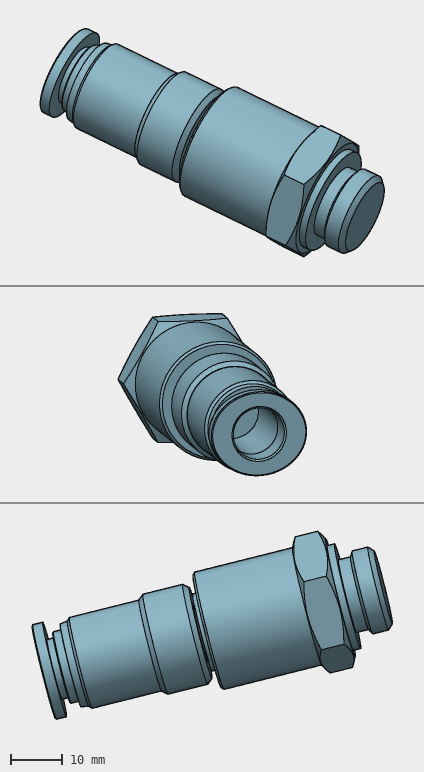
import cadquery as cq
import math


FLANGE_WIDTH_Y = 19.0
FLANGE_HEIGHT_Z = 16.65
FLANGE_THICKNESS = 2.2
FLANGE_EDGE_CHAMFER = 0.2
SLEEVE_DIAMETER = 12.0
TUBE_BORE_DIAMETER = 10.2
TUBE_BORE_CHAMFER = 0.35
SLEEVE_END = 5.65

COLLAR_START = 3.5
COLLAR_DIAMETER = 14.3
COLLAR_CHAMFER = 0.2
NOSE_START = 5.35
NOSE_DIAMETER = 16.65
NOSE_CONE_END = 6.85
NOSE_CONE_DIAMETER = 17.1
BARREL_START = 7.4
BARREL_DIAMETER = 18.2
SHOULDER_START = 21.3
SHOULDER_END = 22.35
TUBE_STOP = SHOULDER_START
SHOULDER_FOOT_DIAMETER = 18.3
SHOULDER_DIAMETER = 20.0
REAR_CHAMFER_START = 30.3
BARREL_END = 31.4
REAR_FACE_DIAMETER = 18.2
NECK_DIAMETER = 11.9

HOUSING_START = 31.7
LIP_DIAMETER = 15.5
CASE_START = 32.65
CASE_DIAMETER = 23.5
CASE_CHAMFER = 0.5
HEX_START = 52.7
HEX_END = 59.35
HEX_ACROSS_FLATS = 24.0
HEX_CHAMFER_LENGTH = 1.1
SEAT_DIAMETER = 21.0
SEAT_END = 60.8
RELIEF_DIAMETER = 14.6
RELIEF_END = 63.15
THREAD_START = 63.75
THREAD_DIAMETER = 16.65
THREAD_CHAMFER = 1.0
OVERALL_LENGTH = 67.9


def cylinder(start, end, diameter):
    """Cylinder on the X axis between two X positions."""
    return cq.Workplane("YZ", origin=(start, 0, 0)).circle(diameter / 2).extrude(end - start)


def revolve_profile(stations):
    """Solid of revolution about X from (x, diameter) stations."""
    outline = [(stations[0][0], 0)]
    outline += [(x, diameter / 2) for x, diameter in stations]
    outline += [(stations[-1][0], 0)]
    return cq.Workplane("XY").polyline(outline).close().revolve(360, (0, 0, 0), (1, 0, 0))


def make_release_sleeve():
    flange = (
        cq.Workplane("YZ")
        .ellipse(FLANGE_WIDTH_Y / 2, FLANGE_HEIGHT_Z / 2)
        .extrude(FLANGE_THICKNESS)
        .faces("<X")
        .chamfer(FLANGE_EDGE_CHAMFER)
    )
    sleeve = flange.union(cylinder(FLANGE_THICKNESS, SLEEVE_END, SLEEVE_DIAMETER))
    bore = revolve_profile([
        (0, TUBE_BORE_DIAMETER + 2 * TUBE_BORE_CHAMFER),
        (TUBE_BORE_CHAMFER, TUBE_BORE_DIAMETER),
        (SLEEVE_END, TUBE_BORE_DIAMETER),
    ])
    return sleeve.cut(bore)


def make_swivel_body():
    body = revolve_profile([
        (COLLAR_START, COLLAR_DIAMETER - 2 * COLLAR_CHAMFER),
        (COLLAR_START + COLLAR_CHAMFER, COLLAR_DIAMETER),
        (NOSE_START, COLLAR_DIAMETER),
        (NOSE_START, NOSE_DIAMETER),
        (NOSE_CONE_END, NOSE_CONE_DIAMETER),
        (BARREL_START, BARREL_DIAMETER),
        (SHOULDER_START, BARREL_DIAMETER),
        (SHOULDER_START, SHOULDER_FOOT_DIAMETER),
        (SHOULDER_END, SHOULDER_DIAMETER),
        (REAR_CHAMFER_START, SHOULDER_DIAMETER),
        (BARREL_END, REAR_FACE_DIAMETER),
        (BARREL_END, NECK_DIAMETER),
        (HOUSING_START, NECK_DIAMETER),
    ])
    socket = cylinder(COLLAR_START, SLEEVE_END, SLEEVE_DIAMETER)
    tube_bore = cylinder(SLEEVE_END, TUBE_STOP, TUBE_BORE_DIAMETER)
    return body.cut(socket).cut(tube_bore)


def make_hexagon():
    """Hexagon with corners on +Y and -Y, both ends turned down conically."""
    across_corners = HEX_ACROSS_FLATS / math.cos(math.pi / 6)
    prism = (
        cq.Workplane("YZ", origin=(HEX_START, 0, 0))
        .polygon(6, across_corners)
        .extrude(HEX_END - HEX_START)
    )
    corner_cones = revolve_profile([
        (HEX_START, CASE_DIAMETER),
        (HEX_START + HEX_CHAMFER_LENGTH, across_corners),
        (HEX_END - HEX_CHAMFER_LENGTH, across_corners),
        (HEX_END, CASE_DIAMETER),
    ])
    return prism.intersect(corner_cones)


def make_housing():
    turned = revolve_profile([
        (HOUSING_START, LIP_DIAMETER),
        (CASE_START, LIP_DIAMETER),
        (CASE_START, CASE_DIAMETER - 2 * CASE_CHAMFER),
        (CASE_START + CASE_CHAMFER, CASE_DIAMETER),
        (HEX_START, CASE_DIAMETER),
        (HEX_START, SEAT_DIAMETER),
        (SEAT_END, SEAT_DIAMETER),
        (SEAT_END, RELIEF_DIAMETER),
        (RELIEF_END, RELIEF_DIAMETER),
        (THREAD_START, THREAD_DIAMETER),
        (OVERALL_LENGTH - THREAD_CHAMFER, THREAD_DIAMETER),
        (OVERALL_LENGTH, THREAD_DIAMETER - 2 * THREAD_CHAMFER),
    ])
    return turned.union(make_hexagon())


release_sleeve = make_release_sleeve()
swivel_body = make_swivel_body()
housing = make_housing()

result = cq.Compound.makeCompound([release_sleeve.val(), swivel_body.val(), housing.val()])